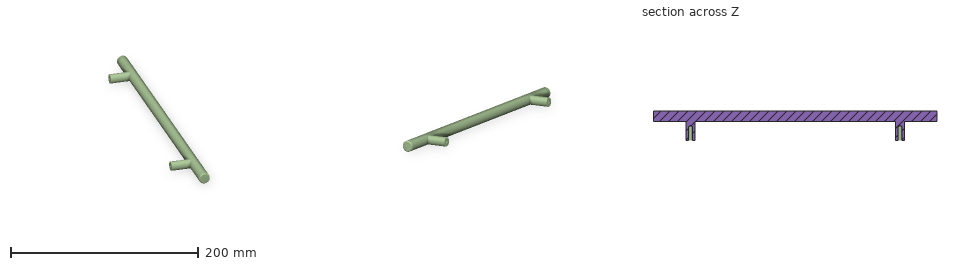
import math

import cadquery as cq

bar_length = 304.0
bar_diameter = 12.0
bar_chamfer = 1.0

post_spacing = 224.0
post_diameter = 10.0
overall_depth = 32.0
post_length = overall_depth - bar_diameter / 2

screw_hole_diameter = 3.3
screw_hole_depth = 15.0
drill_point_angle = 118.0


def make_bar():
    """Round bar along X, centred on the origin, with chamfered ends."""
    bar = (
        cq.Workplane("YZ", origin=(-bar_length / 2, 0, 0))
        .circle(bar_diameter / 2)
        .extrude(bar_length)
    )
    return bar.faces("<X or >X").chamfer(bar_chamfer)


def make_post(x):
    """Round post from the bar axis to the mounting face on the -Y side."""
    return (
        cq.Workplane("XZ", origin=(x, 0, 0))
        .circle(post_diameter / 2)
        .extrude(post_length)
    )


def make_screw_hole(x):
    """Blind hole with a conical drill point, entering from the mounting face."""
    radius = screw_hole_diameter / 2
    point_depth = radius / math.tan(math.radians(drill_point_angle / 2))
    half_profile = (
        cq.Workplane("XY", origin=(x, -post_length, 0))
        .lineTo(radius, 0)
        .lineTo(radius, screw_hole_depth)
        .lineTo(0, screw_hole_depth + point_depth)
        .close()
    )
    return half_profile.revolve(360, (0, 0), (0, 1))


result = make_bar()
for post_x in (-post_spacing / 2, post_spacing / 2):
    result = result.union(make_post(post_x)).cut(make_screw_hole(post_x))